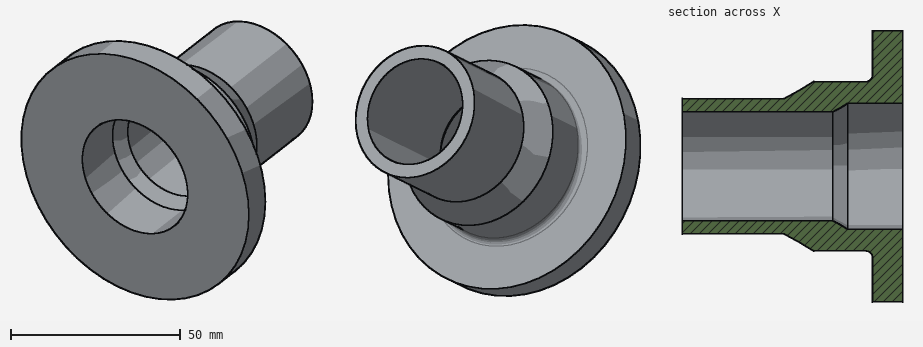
import cadquery as cq
import math

flange_diameter = 80.0
flange_thickness = 9.0
hub_diameter = 50.0
pipe_diameter = 40.0
pipe_length = 30.0
total_length = 65.0
neck_fillet = 2.0
socket_diameter = 37.0
socket_depth = 16.2
bore_diameter = 32.0
taper_angle = 30.0

flange_radius = flange_diameter / 2
hub_radius = hub_diameter / 2
pipe_radius = pipe_diameter / 2
socket_radius = socket_diameter / 2
bore_radius = bore_diameter / 2
taper_slope = math.tan(math.radians(taper_angle))
pipe_start = total_length - pipe_length
hub_end = pipe_start - (hub_radius - pipe_radius) / taper_slope
bore_start = socket_depth + (socket_radius - bore_radius) / taper_slope


def turned(half_section):
    """Revolve a closed half section, drawn in X (radius) and Y, about the Y axis."""
    return half_section.close().revolve(360, (0, 0, 0), (0, 1, 0))


def outer_body():
    """Flange, filleted hub, tapered shoulder and pipe end as one solid of revolution."""
    return turned(
        cq.Workplane("XY")
        .lineTo(flange_radius, 0)
        .lineTo(flange_radius, flange_thickness)
        .lineTo(hub_radius + neck_fillet, flange_thickness)
        .radiusArc((hub_radius, flange_thickness + neck_fillet), neck_fillet)
        .lineTo(hub_radius, hub_end)
        .lineTo(pipe_radius, pipe_start)
        .lineTo(pipe_radius, total_length)
        .lineTo(0, total_length)
    )


def inner_passage():
    """Wide socket behind the sealing face, tapering to the bore of the pipe end."""
    return turned(
        cq.Workplane("XY")
        .lineTo(socket_radius, 0)
        .lineTo(socket_radius, socket_depth)
        .lineTo(bore_radius, bore_start)
        .lineTo(bore_radius, total_length)
        .lineTo(0, total_length)
    )


result = outer_body().cut(inner_passage())